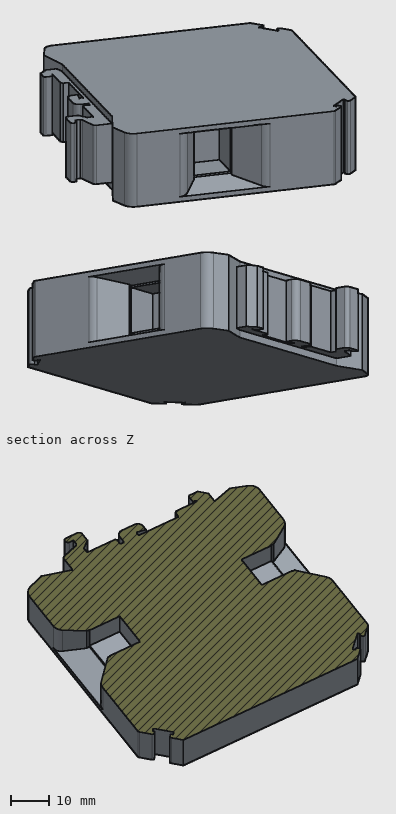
import cadquery as cq
import math


width = 71.0
thickness = 20.5
base_to_top = 65.55
total_length = 75.8
half_width = width / 2
corner_leg = 8.65
corner_radius = 0.7
foot_x = 29.1
foot_y = -2.4
base_half_width = 21.0
foot_radius = 3.0

slot_offset = 0.2
slot_mouth = 4.2
slot_inner_width = 5.45
slot_depth = 2.05
lip_thickness = 1.4
lip_radius = 0.5
lip_back_radius = 0.3

opening_top = 38.95
inner_top = 30.6
inner_bottom = 20.15
opening_bottom = 14.0
opening_height = 17.65
land_height = 13.3
pocket_height = 12.3
pocket_step = 0.15
opening_radius = 3.0
funnel_depth = 6.7
land_depth = 0.75
pocket_depth = 16.7

clip_thickness = 16.5
clip_bottom = base_to_top - total_length
clip_left = -23.35
clip_right = base_half_width
clip_overlap = 3.0
plate_y = -1.05
ledge_y = -3.1
plate_left = -12.35
left_hook_bottom = -5.9
left_hook_tip = -18.3
left_hook_chamfer = 2.05
barb_y = -3.55
barb_root_x = -19.6
hook_rounding = 0.5
spring_left = -2.8
spring_right = 4.5
spring_bottom = -4.85
spring_top = -1.6
spring_root_x = -0.15
spring_root_y = -2.1
spring_rounding = 1.7
slit_right = 5.5
slit_chamfer = 0.4
neck_left = 14.5
neck_top = -4.7
neck_bottom = -6.5
right_hook_left = 12.3
right_hook_rounding = 1.05
right_hook_tip = 17.5
right_hook_top = -8.4
tip_rounding = 0.75
groove_x = 15.5
groove_top = -6.6
groove_rounding = 0.45
shoulder_y = -4.4
shoulder_width = 0.7
shoulder_height = 0.75
shoulder_radius = 0.9


def housing():
    """Plate with chamfered top corners and two rounded feet."""
    outline = [
        (-half_width + corner_leg, base_to_top),
        (half_width - corner_leg, base_to_top),
        (half_width, base_to_top - corner_leg),
        (half_width, 0),
        (foot_x, foot_y),
        (base_half_width, 0),
        (-base_half_width, 0),
        (-foot_x, foot_y),
        (-half_width, 0),
        (-half_width, base_to_top - corner_leg),
    ]
    body = cq.Workplane("XY").polyline(outline).close().extrude(thickness / 2, both=True)
    for x in (-half_width, half_width):
        body = body.edges(cq.selectors.NearestToPointSelector((x, 0, 0))).fillet(foot_radius)
        shoulder = (x, base_to_top - corner_leg, 0)
        body = body.edges(cq.selectors.NearestToPointSelector(shoulder)).fillet(corner_radius)
    return body


def corner_slot():
    """T-slot cutter for the top right chamfer."""
    mouth = slot_mouth / 2
    inner = slot_inner_width / 2
    slot = (
        cq.Workplane("XY")
        .moveTo(-mouth - lip_radius, 0)
        .radiusArc((-mouth, -lip_radius), lip_radius)
        .lineTo(-mouth, -lip_thickness + lip_back_radius)
        .radiusArc((-mouth - lip_back_radius, -lip_thickness), lip_back_radius)
        .lineTo(-inner, -lip_thickness)
        .lineTo(-inner, -slot_depth)
        .lineTo(inner, -slot_depth)
        .lineTo(inner, -lip_thickness)
        .lineTo(mouth + lip_back_radius, -lip_thickness)
        .radiusArc((mouth, -lip_thickness + lip_back_radius), lip_back_radius)
        .lineTo(mouth, -lip_radius)
        .radiusArc((mouth + lip_radius, 0), lip_radius)
        .close()
        .extrude(thickness / 2, both=True)
    )
    along = slot_offset / math.sqrt(2)
    centre_x = half_width - corner_leg / 2 - along
    centre_y = base_to_top - corner_leg / 2 + along
    return slot.rotate((0, 0, 0), (0, 0, 1), -45).translate((centre_x, centre_y, 0))


def funnel_wall(mouth_y, inner_y):
    """Arc that rounds a funnel wall into the side face, as three (x, y) points.

    They are the tangent point on the side face, the arc middle and the tangent point on the wall.
    """
    span = abs(mouth_y - inner_y)
    inward = math.copysign(1, inner_y - mouth_y)
    run = funnel_depth - opening_radius
    turn = math.atan2(span, run) - math.asin(opening_radius / math.hypot(run, span))
    end_angle = math.pi / 2 - turn
    points = []
    for angle in (0, end_angle / 2, end_angle):
        x = -half_width + opening_radius * (1 - math.cos(angle))
        y = mouth_y + inward * opening_radius * math.sin(angle)
        points.append((x, y))
    return points


def wire_opening():
    """Cutter for the opening in the left side: rounded funnel, short land, then pocket."""
    top_start, top_mid, top_end = funnel_wall(opening_top, inner_top)
    low_start, low_mid, low_end = funnel_wall(opening_bottom, inner_bottom)
    funnel_end = funnel_depth - half_width
    land_end = funnel_end + land_depth
    pocket_end = pocket_depth - half_width
    plan_shape = (
        cq.Workplane("XY")
        .moveTo(*top_start)
        .threePointArc(top_mid, top_end)
        .lineTo(funnel_end, inner_top)
        .lineTo(land_end, inner_top)
        .lineTo(land_end, inner_top - pocket_step)
        .lineTo(pocket_end, inner_top - pocket_step)
        .lineTo(pocket_end, inner_bottom + pocket_step)
        .lineTo(land_end, inner_bottom + pocket_step)
        .lineTo(land_end, inner_bottom)
        .lineTo(funnel_end, inner_bottom)
        .lineTo(*low_end)
        .threePointArc(low_mid, low_start)
        .close()
        .extrude(thickness / 2, both=True)
    )
    upper_half = [
        (-half_width, opening_height / 2),
        (land_end, land_height / 2),
        (land_end, pocket_height / 2),
        (pocket_end, pocket_height / 2),
    ]
    lower_half = [(x, -z) for x, z in reversed(upper_half)]
    height_shape = cq.Workplane("XZ").polyline(upper_half + lower_half).close().extrude(-base_to_top)
    return plan_shape.intersect(height_shape)


def rail_clip():
    """Clip with a fixed left hook, a centre spring and a releasing right hook."""
    profile = (
        cq.Workplane("XY")
        .moveTo(clip_left, clip_overlap)
        .lineTo(clip_left, left_hook_bottom + left_hook_chamfer)
        .lineTo(clip_left + left_hook_chamfer, left_hook_bottom)
        .lineTo(left_hook_tip - hook_rounding, left_hook_bottom)
        .radiusArc((left_hook_tip, left_hook_bottom + hook_rounding), -hook_rounding)
        .lineTo(left_hook_tip, barb_y)
        .lineTo(barb_root_x, ledge_y)
        .lineTo(plate_left - hook_rounding, ledge_y)
        .lineTo(plate_left, ledge_y + hook_rounding)
        .lineTo(plate_left, plate_y)
        .lineTo(spring_root_x, plate_y)
        .lineTo(spring_root_x, spring_root_y)
        .lineTo(spring_left, spring_top)
        .lineTo(spring_left, spring_bottom + spring_rounding)
        .radiusArc((spring_left + spring_rounding, spring_bottom), -spring_rounding)
        .lineTo(spring_right - spring_rounding, spring_bottom)
        .radiusArc((spring_right, spring_bottom + spring_rounding), -spring_rounding)
        .lineTo(spring_right, plate_y)
        .lineTo(slit_right, plate_y)
        .lineTo(slit_right, ledge_y + slit_chamfer)
        .lineTo(slit_right + slit_chamfer, ledge_y)
        .lineTo(neck_left, ledge_y)
        .lineTo(neck_left, neck_top)
        .lineTo(right_hook_left, neck_bottom)
        .lineTo(right_hook_left, clip_bottom + right_hook_rounding)
        .radiusArc((right_hook_left + right_hook_rounding, clip_bottom), -right_hook_rounding)
        .lineTo(right_hook_tip - tip_rounding, clip_bottom)
        .radiusArc((right_hook_tip, clip_bottom + tip_rounding), -tip_rounding)
        .lineTo(right_hook_tip, right_hook_top - tip_rounding)
        .radiusArc((right_hook_tip - tip_rounding, right_hook_top), -tip_rounding)
        .lineTo(groove_x, right_hook_top)
        .lineTo(groove_x, groove_top - groove_rounding)
        .radiusArc((groove_x + groove_rounding, groove_top), tip_rounding)
        .lineTo(clip_right - shoulder_width, shoulder_y - shoulder_height)
        .radiusArc((clip_right, shoulder_y), -shoulder_radius)
        .lineTo(clip_right, clip_overlap)
        .close()
    )
    return profile.extrude(clip_thickness / 2, both=True)


def both_sides(shape):
    """Shape joined with its mirror image on the other X side."""
    return shape.union(shape.mirror("YZ"))


body = housing()
body = body.cut(both_sides(corner_slot()))
body = body.cut(both_sides(wire_opening()))
result = body.union(rail_clip())